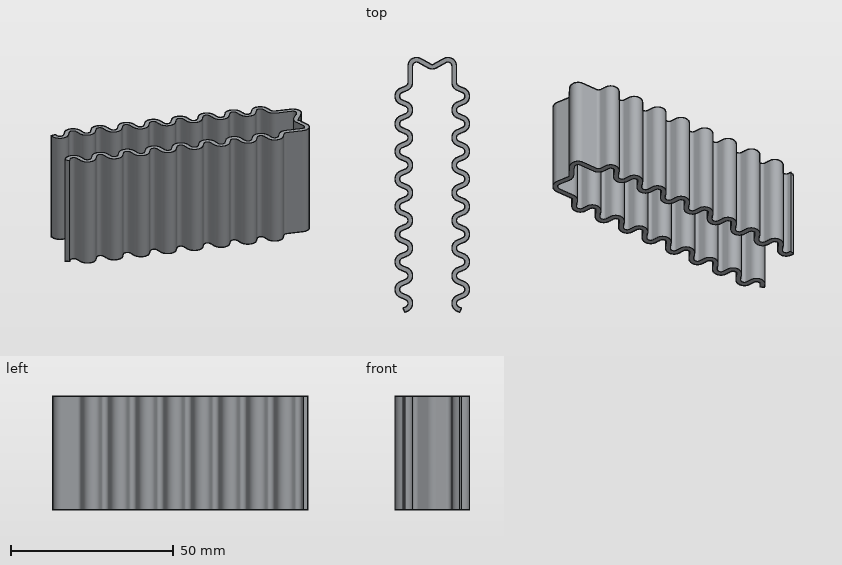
import cadquery as cq
import math

length = 78.5
width = 23.0
height = 35.0

thickness = 1.5
half_thickness = thickness / 2
inner_bend_radius = 1.2
bend_radius = inner_bend_radius + half_thickness

inner_gap = 12.0
wave_count = 8
wave_run = 70.1
pitch = wave_run / (wave_count + 0.25)
inner_crest_x = inner_gap / 2 + half_thickness
outer_crest_x = width / 2 - half_thickness

centre_dx = outer_crest_x - inner_crest_x - 2 * bend_radius
centre_dy = pitch / 2
flank_length = math.sqrt(centre_dx**2 + centre_dy**2 - (2 * bend_radius) ** 2)
flank_angle = math.atan2(flank_length, 2 * bend_radius) - math.atan2(centre_dx, centre_dy)
bend_angle = math.pi / 2 - flank_angle

tip_y = -length + half_thickness * math.cos(flank_angle)
first_crest_y = tip_y + wave_run

fold_angle = math.radians(29)
corner_x = inner_crest_x - bend_radius
corner_y = -half_thickness - bend_radius
apex_y = (
    corner_y
    + 2 * bend_radius / math.cos(fold_angle)
    - corner_x * math.tan(fold_angle)
)


def right_half_bends():
    """Bends of the right half, from the V to the tip: centre x, centre y, start and end angle."""
    inner_x = inner_crest_x + bend_radius
    outer_x = outer_crest_x - bend_radius
    left = math.pi
    bends = [
        (0, apex_y, -math.pi / 2, -math.pi / 2 + fold_angle),
        (corner_x, corner_y, math.pi / 2 + fold_angle, 0),
        (inner_x, first_crest_y, left, left + bend_angle),
    ]
    for wave in range(wave_count):
        outer_y = first_crest_y - (wave + 0.5) * pitch
        inner_y = first_crest_y - (wave + 1) * pitch
        bends.append((outer_x, outer_y, bend_angle, -bend_angle))
        bends.append((inner_x, inner_y, left - bend_angle, left + bend_angle))
    return bends


def face_arcs(side):
    """Start, middle and end points of the bends on one face (side +1 left, -1 right of travel)."""
    arcs = []
    for x, y, start, end in right_half_bends():
        turn = 1 if end > start else -1
        radius = bend_radius - side * turn * half_thickness
        angles = (start, (start + end) / 2, end)
        arcs.append([(x + radius * math.cos(a), y + radius * math.sin(a)) for a in angles])
    return arcs


def tip_corner(side):
    """Corner of the square-cut tip, halfway along the last flank."""
    x = (inner_crest_x + outer_crest_x) / 2
    return (
        x + side * half_thickness * math.sin(flank_angle),
        tip_y + side * half_thickness * math.cos(flank_angle),
    )


def add_face(sketch, arcs):
    """Continue the outline along one face: a line up to each bend, then the bend."""
    for start, middle, end in arcs:
        sketch = sketch.lineTo(*start).threePointArc(middle, end)
    return sketch


def right_half():
    groove_bottom = (0, apex_y - inner_bend_radius / math.cos(fold_angle))
    left_face = face_arcs(1)[1:]
    right_face = face_arcs(-1)
    back_along_right_face = [arc[::-1] for arc in reversed(right_face)]
    outline = cq.Workplane("XY").moveTo(*groove_bottom)
    outline = add_face(outline, left_face)
    outline = outline.lineTo(*tip_corner(1)).lineTo(*tip_corner(-1))
    outline = add_face(outline, back_along_right_face)
    return outline.close().extrude(height)


half = right_half()
result = half.union(half.mirror("YZ"), clean=True)